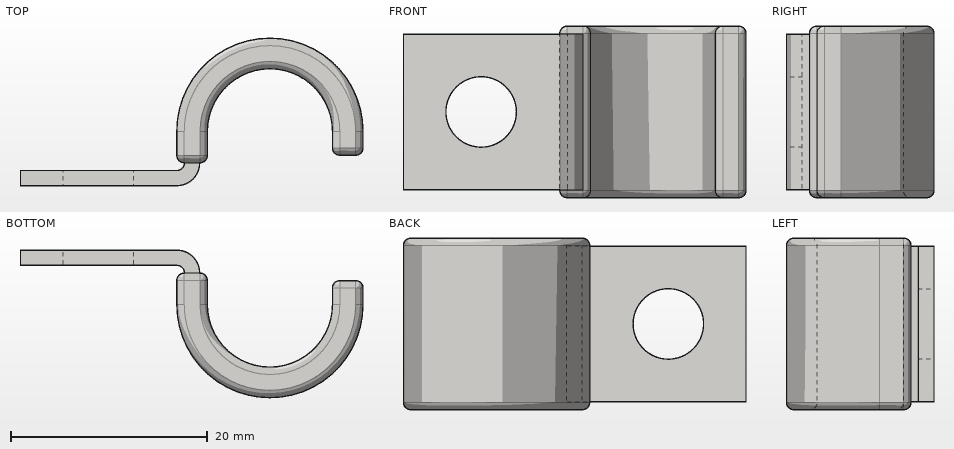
import cadquery as cq
import math

total_length = 34.85
total_depth = 15.0
cushion_height = 17.45

outer_radius = 9.48
cushion_thickness = 3.15
edge_radius = 0.75
free_leg_length = 2.45

strap_thickness = 1.57
strap_height = 15.8
bend_inner_radius = 0.75
hole_diameter = 7.15
hole_from_end = strap_height / 2

inner_radius = outer_radius - cushion_thickness
middle_radius = (outer_radius + inner_radius) / 2
tab_end_x = outer_radius - total_length
tab_front_y = outer_radius - total_depth
tab_back_y = tab_front_y + strap_thickness
bend_outer_radius = bend_inner_radius + strap_thickness
strap_left_x = -middle_radius - strap_thickness / 2
strap_right_x = strap_left_x + strap_thickness
bend_x = strap_left_x - bend_inner_radius
bend_y = tab_back_y + bend_inner_radius
strap_leg_end_y = bend_y


def make_cushion():
    """Half ring with straight legs, rounded along every outside edge."""
    profile = (
        cq.Workplane("XY")
        .workplane(offset=-cushion_height / 2)
        .moveTo(-outer_radius, strap_leg_end_y)
        .lineTo(-outer_radius, 0)
        .threePointArc((0, outer_radius), (outer_radius, 0))
        .lineTo(outer_radius, -free_leg_length)
        .lineTo(inner_radius, -free_leg_length)
        .lineTo(inner_radius, 0)
        .threePointArc((0, inner_radius), (-inner_radius, 0))
        .lineTo(-inner_radius, strap_leg_end_y)
        .close()
    )
    body = profile.extrude(cushion_height)
    body = body.edges("|Z").edges(
        cq.selectors.BoxSelector(
            (-total_length, -total_depth, -cushion_height),
            (total_length, -free_leg_length / 2, cushion_height),
        )
    ).fillet(edge_radius)
    return body.faces("<Z or >Z").edges().fillet(edge_radius)


def make_strap():
    """Bent strap whose upright stretch runs into the leg of the cushion."""
    diagonal = math.sqrt(0.5)
    outer_mid = (bend_x + bend_outer_radius * diagonal, bend_y - bend_outer_radius * diagonal)
    inner_mid = (bend_x + bend_inner_radius * diagonal, bend_y - bend_inner_radius * diagonal)
    return (
        cq.Workplane("XY")
        .workplane(offset=-strap_height / 2)
        .moveTo(tab_end_x, tab_front_y)
        .lineTo(bend_x, tab_front_y)
        .threePointArc(outer_mid, (strap_right_x, bend_y))
        .lineTo(strap_right_x, 0)
        .lineTo(strap_left_x, 0)
        .lineTo(strap_left_x, bend_y)
        .threePointArc(inner_mid, (bend_x, tab_back_y))
        .lineTo(tab_end_x, tab_back_y)
        .close()
        .extrude(strap_height)
    )


def make_hole():
    """Screw hole through the tab along Y."""
    return (
        cq.Workplane("XZ", origin=(tab_end_x + hole_from_end, tab_back_y, 0))
        .circle(hole_diameter / 2)
        .extrude(strap_thickness)
    )


result = make_cushion().union(make_strap()).cut(make_hole())